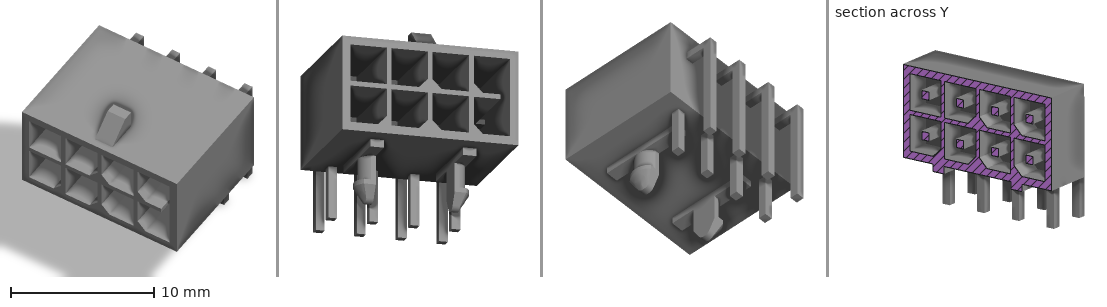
import cadquery as cq


overall_depth = 12.22
overall_height = 12.05

columns = 4
rows = 2
pitch = 3.0
body_width = 12.85
body_depth = 9.95
body_height = 6.85

cavity_size = 2.65
cavity_depth = 8.0
key_chamfer = 0.65
notch_width = 0.7
notch_depth = 6.0
lower_row_z = (body_height - pitch) / 2
column_x = [(i - (columns - 1) / 2) * pitch for i in range(columns)]
row_z = [lower_row_z + i * pitch for i in range(rows)]
cavity_keys = [[1, 1, -1, -1], [0, 1, -1, -1]]

latch_width = 1.45
latch_height = 1.4
latch_back_y = 2.95
latch_crest_y = 2.2
latch_toe_y = 0.55

pin_size = 0.64
pin_recess = 4.0
pin_bottom_z = -3.75
rear_leg_y = overall_depth - pin_size / 2
row_leg_y = [rear_leg_y - pitch, rear_leg_y]
tail_thickness = 0.6
tail_drop = 0.24

rail_inner_x = -2.875
rail_outer_x = -3.875
rail_front_y = 1.6
rail_back_y = 8.1
rail_height = 0.55
peg_y = 4.6
peg_half_width = 1.0
shaft_shoulder_x = -3.225
barb_shoulder_x = -3.725
barb_peak_x = -4.17
barb_top_z = -2.3
barb_bottom_z = -2.64
tip_shoulder_x = -3.33
tip_peak_x = -3.43
tip_half_width = 0.34
tip_radius = 0.55
tip_bottom_z = body_height + latch_height - overall_height


def box(x_range, y_range, z_range):
    """Axis-aligned box spanning the given (low, high) ranges."""
    spans = (x_range, y_range, z_range)
    sizes = [high - low for low, high in spans]
    low_corner = tuple(low for low, high in spans)
    return cq.Workplane("XY").box(*sizes, centered=False).translate(low_corner)


def around(centre, size):
    """(low, high) range of the given size about a centre."""
    return (centre - size / 2, centre + size / 2)


def make_cavity(x, z, key):
    """Square socket open at the mating face, with one lower corner cut off when keyed."""
    cavity = box(around(x, cavity_size), (0, cavity_depth), around(z, cavity_size))
    if key:
        keyed_side = ">X" if key > 0 else "<X"
        cavity = cavity.faces(keyed_side).edges("<Z").chamfer(key_chamfer)
    return cavity


def make_housing():
    housing = box(around(0, body_width), (0, body_depth), (0, body_height))
    for z, keys in zip(row_z, cavity_keys):
        for x, key in zip(column_x, keys):
            housing = housing.cut(make_cavity(x, z, key))
    outer_wall_x = column_x[-1] + cavity_size / 2
    notch_x = (outer_wall_x - notch_width, outer_wall_x)
    wall_z = around(body_height / 2, pitch - cavity_size)
    notch = box(notch_x, (0, notch_depth), wall_z)
    return housing.cut(notch)


def make_latch():
    profile = [
        (latch_back_y, body_height),
        (latch_back_y, body_height + latch_height),
        (latch_crest_y, body_height + latch_height),
        (latch_toe_y, body_height),
    ]
    return cq.Workplane("YZ").polyline(profile).close().extrude(latch_width / 2, both=True)


def make_pin(x, z, leg_y):
    """Contact in the cavity, tail running back to the leg, and leg going down to the board."""
    across = around(x, pin_size)
    contact_top_z = z + pin_size / 2
    tail_top_z = contact_top_z - tail_drop
    leg_back_y = leg_y + pin_size / 2
    contact = box(across, (pin_recess, cavity_depth), around(z, pin_size))
    tail = box(across, (cavity_depth, leg_back_y), (tail_top_z - tail_thickness, tail_top_z))
    leg = box(across, around(leg_y, pin_size), (pin_bottom_z, tail_top_z))
    return contact.union(tail).union(leg)


def peg_section(z, half_width, shoulder_x, peak_x):
    """D-shaped peg section at height z: flat inner face, bowed outer face."""
    return (
        cq.Workplane("XY", origin=(0, peg_y, z))
        .moveTo(rail_inner_x, -half_width)
        .lineTo(shoulder_x, -half_width)
        .threePointArc((peak_x, 0), (shoulder_x, half_width))
        .lineTo(rail_inner_x, half_width)
        .close()
    )


def make_peg():
    shaft = peg_section(0, peg_half_width, shaft_shoulder_x, rail_outer_x).extrude(barb_bottom_z)
    barb = peg_section(barb_top_z, peg_half_width, barb_shoulder_x, barb_peak_x)
    barb = barb.extrude(barb_bottom_z - barb_top_z)
    tip_top = peg_section(barb_bottom_z, peg_half_width, barb_shoulder_x, barb_peak_x)
    tip_end = peg_section(tip_bottom_z, tip_half_width, tip_shoulder_x, tip_peak_x)
    tip = cq.Workplane(cq.Solid.makeLoft([tip_top.wire().val(), tip_end.wire().val()], ruled=True))
    tip = tip.faces("<Z").edges("|X").fillet(tip_radius)
    return shaft.union(barb).union(tip)


def make_mount():
    """One standoff rail with its locking peg."""
    rail = box((rail_outer_x, rail_inner_x), (rail_front_y, rail_back_y), (-rail_height, 0))
    return rail.union(make_peg())


result = make_housing().union(make_latch())
for contact_z, leg_y in zip(row_z, row_leg_y):
    for contact_x in column_x:
        result = result.union(make_pin(contact_x, contact_z, leg_y))
mount = make_mount()
result = result.union(mount).union(mount.mirror("YZ"))